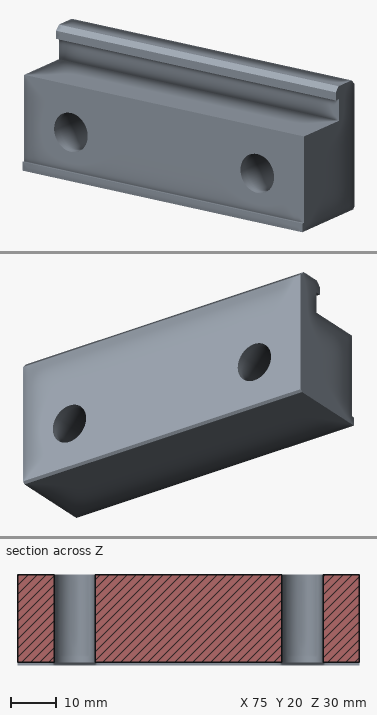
import cadquery as cq

length = 75.0
depth = 20.0
height = 30.0

web_thickness = 6.0
lip_overhang = 1.2
lip_height = 3.0
ledge_drop = 8.0
top_chamfer = 1.1

foot_projection = 0.7
foot_height = 2.0
bottom_chamfer = 0.5

hole_diameter = 9.0
hole_end_distance = 12.5
hole_height = 11.0

back = depth / 2
front = -back
body_front = front + foot_projection
web_front = back - web_thickness
lip_front = web_front - lip_overhang
ledge_height = height - ledge_drop


def rail_body():
    """Constant Y-Z profile extruded along X, centred on the origin in X and Y."""
    profile = [
        (front, 0),
        (back - bottom_chamfer, 0),
        (back, bottom_chamfer),
        (back, height - top_chamfer),
        (back - top_chamfer, height),
        (lip_front + top_chamfer, height),
        (lip_front, height - top_chamfer),
        (lip_front, height - lip_height),
        (web_front, height - lip_height),
        (web_front, ledge_height),
        (body_front, ledge_height),
        (body_front, foot_height),
        (front, foot_height),
    ]
    return cq.Workplane("YZ").polyline(profile).close().extrude(length / 2, both=True)


def mounting_holes():
    """Two cylinders running through the full depth along Y."""
    hole_x = length / 2 - hole_end_distance
    return (
        cq.Workplane("XZ")
        .pushPoints([(-hole_x, hole_height), (hole_x, hole_height)])
        .circle(hole_diameter / 2)
        .extrude(depth, both=True)
    )


result = rail_body().cut(mounting_holes())